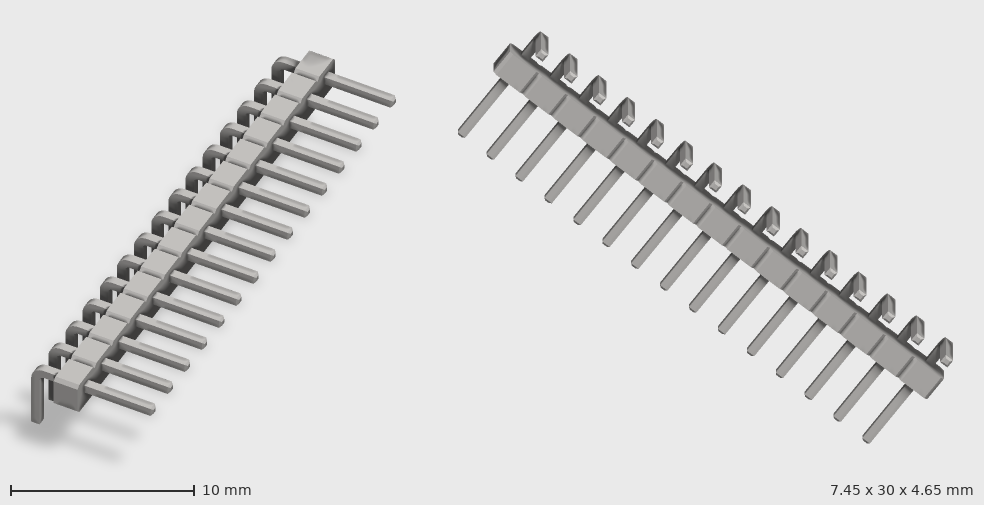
import cadquery as cq

pin_count = 15
row_length = 30.0
pitch = row_length / pin_count

body_width = 1.47
body_height = pitch
body_start = 1.77
cell_chamfer = 0.2

pin_size = 0.5
pin_reach = 7.45
total_height = 4.65
pin_drop = 0.48
bend_outer_radius = 0.78
tip_length = 0.12
tip_inset = 0.12

body_top = body_height / 2
pin_top = body_top - pin_drop
tail_end = body_top - total_height
bend_inner_radius = bend_outer_radius - pin_size


def make_cell(y):
    """Body cell: a block with its four long edges chamfered."""
    return (
        cq.Workplane("XY")
        .box(body_width, pitch, body_height)
        .edges("|X")
        .chamfer(cell_chamfer)
        .translate((body_start + body_width / 2, y, 0))
    )


def make_tip(plane):
    """Tapered pin tip growing along the normal of the given plane."""
    end_size = pin_size - 2 * tip_inset
    return (
        cq.Workplane(plane)
        .rect(pin_size, pin_size)
        .workplane(offset=tip_length)
        .rect(end_size, end_size)
        .loft(ruled=True)
    )


def make_pin():
    """L-shaped square pin at Y = 0 with a rounded bend and tapered tips."""
    contact_shoulder = pin_reach - tip_length
    tail_shoulder = tail_end + tip_length
    bend_z = pin_top - bend_outer_radius
    pin_bottom = pin_top - pin_size
    shank = (
        cq.Workplane("XZ")
        .moveTo(0, tail_shoulder)
        .lineTo(0, bend_z)
        .radiusArc((bend_outer_radius, pin_top), bend_outer_radius)
        .lineTo(contact_shoulder, pin_top)
        .lineTo(contact_shoulder, pin_bottom)
        .lineTo(bend_outer_radius, pin_bottom)
        .radiusArc((pin_size, bend_z), -bend_inner_radius)
        .lineTo(pin_size, tail_shoulder)
        .close()
        .extrude(pin_size / 2, both=True)
    )
    contact_origin = (contact_shoulder, 0, pin_top - pin_size / 2)
    tail_origin = (pin_size / 2, 0, tail_shoulder)
    contact_tip = make_tip(cq.Plane(contact_origin, xDir=(0, 1, 0), normal=(1, 0, 0)))
    tail_tip = make_tip(cq.Plane(tail_origin, xDir=(1, 0, 0), normal=(0, 0, -1)))
    return shank.union(contact_tip).union(tail_tip)


pin = make_pin()
pin_positions = [(i - (pin_count - 1) / 2) * pitch for i in range(pin_count)]

result = make_cell(pin_positions[0]).union(pin.translate((0, pin_positions[0], 0)))
for y in pin_positions[1:]:
    result = result.union(make_cell(y)).union(pin.translate((0, y, 0)))